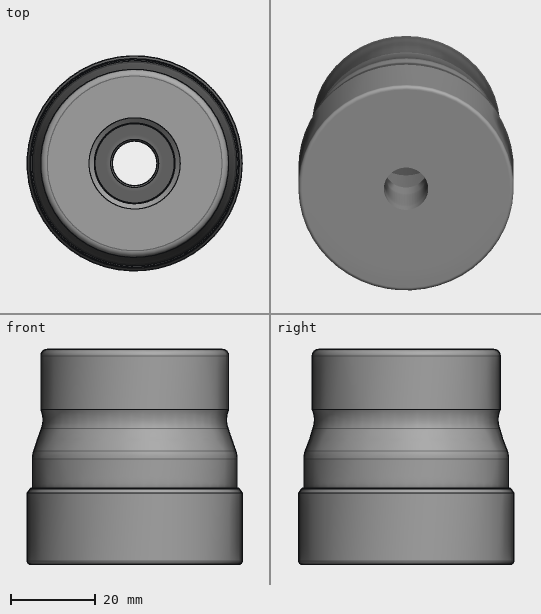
import cadquery as cq
import math

total_height = 50.8
joint_z = 18.05

base_radius = 25.4
base_bottom_fillet = 0.85
base_chamfer_start_z = 16.8
base_chamfer_end_z = 17.85
base_chamfer_end_radius = 24.75
base_top_radius = 24.5
hole_radius = 5.25
hole_chamfer = 0.45

shoulder_radius = 24.2
shoulder_top_z = 24.95
shoulder_round_radius = 5.5
cone_angle = math.radians(20)
neck_radius = 21.7
neck_z = 34.15
neck_groove_radius = 6.1
head_radius = 22.2
head_fillet = 1.6

bore_radius = 9.35
bore_mouth_radius = 10.75
bore_chamfer = 1.2
bore_step_depth = 3.15
bore_depth = 10.65
chamber_radius = 12.7


def make_base():
    """Round block with a broken top edge, a rounded bottom edge and a through hole."""
    block = (
        cq.Workplane("XZ")
        .moveTo(0, 0)
        .lineTo(base_radius, 0)
        .lineTo(base_radius, base_chamfer_start_z)
        .lineTo(base_chamfer_end_radius, base_chamfer_end_z)
        .lineTo(base_top_radius, joint_z)
        .lineTo(0, joint_z)
        .close()
        .revolve(360, (0, 0), (0, 1))
        .faces("<Z").edges().fillet(base_bottom_fillet)
    )
    hole = cq.Workplane("XY").circle(hole_radius).extrude(joint_z)
    hole_mouth = cq.Workplane(
        cq.Solid.makeCone(
            hole_radius, hole_radius + hole_chamfer, hole_chamfer, cq.Vector(0, 0, joint_z - hole_chamfer)
        )
    )
    return block.cut(hole).cut(hole_mouth)


def arc_point(center_r, center_z, radius, angle):
    """Point on a profile arc; the angle is measured from the outward radial direction."""
    return center_r + radius * math.cos(angle), center_z + radius * math.sin(angle)


def make_housing_outside():
    """Solid of revolution: shoulder, cone, concave neck and cylindrical head."""
    shoulder_center = (shoulder_radius - shoulder_round_radius, shoulder_top_z, shoulder_round_radius)
    groove_center = (neck_radius + neck_groove_radius, neck_z, neck_groove_radius)

    groove_end_angle = math.acos(1 - (head_radius - neck_radius) / neck_groove_radius)
    groove_end = arc_point(*groove_center, math.pi - groove_end_angle)

    return (
        cq.Workplane("XZ")
        .moveTo(0, joint_z)
        .lineTo(shoulder_radius, joint_z)
        .lineTo(shoulder_radius, shoulder_top_z)
        .threePointArc(arc_point(*shoulder_center, cone_angle / 2), arc_point(*shoulder_center, cone_angle))
        .lineTo(*arc_point(*groove_center, math.pi + cone_angle))
        .threePointArc((neck_radius, neck_z), groove_end)
        .lineTo(head_radius, total_height)
        .lineTo(0, total_height)
        .close()
        .revolve(360, (0, 0), (0, 1))
        .faces(">Z").edges().fillet(head_fillet)
    )


def make_housing_bore():
    """Chamfered bore with a small step that flares at 45 degrees into a wider chamber."""
    bore_end_z = total_height - bore_depth
    flare = chamber_radius - bore_radius
    return (
        cq.Workplane("XZ")
        .moveTo(0, joint_z)
        .lineTo(chamber_radius, joint_z)
        .lineTo(chamber_radius, bore_end_z - flare)
        .lineTo(bore_radius, bore_end_z)
        .lineTo(bore_radius, total_height - bore_step_depth)
        .lineTo(bore_mouth_radius - bore_chamfer, total_height - bore_step_depth)
        .lineTo(bore_mouth_radius - bore_chamfer, total_height - bore_chamfer)
        .lineTo(bore_mouth_radius, total_height)
        .lineTo(0, total_height)
        .close()
        .revolve(360, (0, 0), (0, 1))
    )


base = make_base()
housing = make_housing_outside().cut(make_housing_bore())

result = cq.Compound.makeCompound([base.val(), housing.val()])